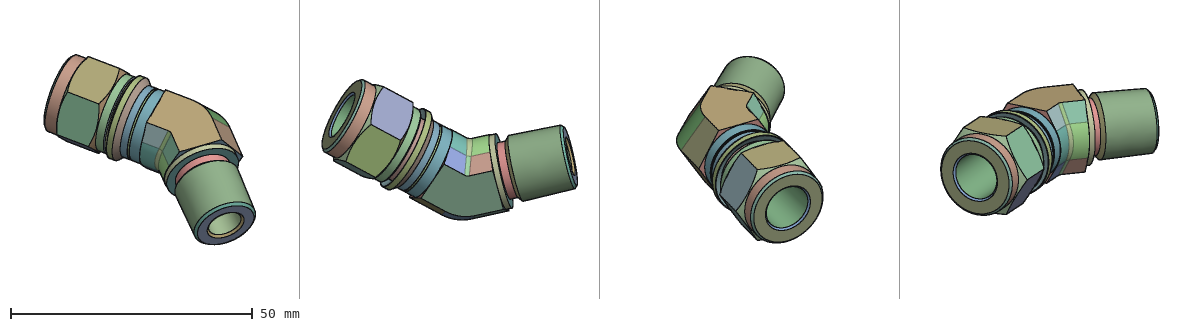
import cadquery as cq
import math

BEND_ANGLE = 45.0
BEND_X = 29.3
BODY_LEG = 7.4
BODY_FLATS = 16.05
OUTER_BEND_RADIUS = 9.45
INNER_BEND_RADIUS = 1.5

NUT_FLATS = 17.45
NUT_START = 3.1
NUT_END = 12.05
NUT_BEVEL_ANGLE = 30.0
NOSE_DIAMETER = 17.0
NOSE_CHAMFER = 0.5
REAR_DIAMETER = NOSE_DIAMETER
REAR_END = 14.1
REAR_CHAMFER = 0.25
NECK_DIAMETER = 14.3
FLANGE_START = 14.8
FLANGE_DIAMETER = 18.25
DISH_DIAMETER = 17.95
DISH_DEPTH = 1.15
FLANGE_RIM_END = 16.15
SHANK_START = 17.4
SHANK_DIAMETER = 15.8
GROOVE_START = 18.95
GROOVE_END = 19.4
GROOVE_DEPTH = 0.15

COLLAR_DIAMETER = 15.8
COLLAR_END = 8.65
RELIEF_DIAMETER = 12.0
RELIEF_END = 10.35
THREAD_START = 11.2
THREAD_DIAMETER = 14.0
THREAD_TAPER = 0.042
THREAD_END = 22.8
THREAD_CHAMFER = 0.55
TIP_DIAMETER = 12.4

TUBE_DIAMETER = 9.7
TUBE_DEPTH = 14.95
BORE_DIAMETER = 7.1
TUBE_CHAMFER = 0.4
BORE_CHAMFER = 0.5


def revolve_x(stations):
    """Solid turned about X from (position, diameter) stations."""
    outline = [(x, diameter / 2) for x, diameter in stations]
    points = [(outline[0][0], 0)] + outline + [(outline[-1][0], 0)]
    return cq.Workplane("XY").polyline(points).close().revolve(360, (0, 0, 0), (1, 0, 0))


def turn_outlet(solid):
    """Carry a solid built along X from the origin onto the outlet axis."""
    return solid.rotate((0, 0, 0), (0, 0, 1), -BEND_ANGLE).translate((BEND_X, 0, 0))


def make_nut():
    corner_diameter = NUT_FLATS / math.cos(math.pi / 6)
    bevel_height = (corner_diameter - NOSE_DIAMETER) / 2
    bevel_length = bevel_height * math.tan(math.radians(NUT_BEVEL_ANGLE))
    hexagon = (
        cq.Workplane("YZ", origin=(NUT_START, 0, 0))
        .polygon(6, corner_diameter)
        .extrude(NUT_END - NUT_START)
    )
    bevel = revolve_x([
        (NUT_START, NOSE_DIAMETER),
        (NUT_START + bevel_length, corner_diameter),
        (NUT_END - bevel_length, corner_diameter),
        (NUT_END, NOSE_DIAMETER),
    ])
    nose = revolve_x([
        (0, NOSE_DIAMETER - 2 * NOSE_CHAMFER),
        (NOSE_CHAMFER, NOSE_DIAMETER),
        (NUT_END, NOSE_DIAMETER),
    ])
    return hexagon.intersect(bevel).union(nose)


def make_inlet():
    groove_diameter = SHANK_DIAMETER - 2 * GROOVE_DEPTH
    return revolve_x([
        (NUT_START, REAR_DIAMETER),
        (REAR_END - REAR_CHAMFER, REAR_DIAMETER),
        (REAR_END, REAR_DIAMETER - 2 * REAR_CHAMFER),
        (REAR_END, NECK_DIAMETER),
        (FLANGE_START + DISH_DEPTH, NECK_DIAMETER),
        (FLANGE_START, DISH_DIAMETER),
        (FLANGE_START, FLANGE_DIAMETER),
        (FLANGE_RIM_END, FLANGE_DIAMETER),
        (SHANK_START, SHANK_DIAMETER),
        (GROOVE_START, SHANK_DIAMETER),
        (GROOVE_START, groove_diameter),
        (GROOVE_END, groove_diameter),
        (GROOVE_END, SHANK_DIAMETER),
        (BEND_X - BODY_LEG, SHANK_DIAMETER),
    ])


def body_section(plane):
    """Hexagon whose corner on the inside of the bend is rounded to the inscribed circle."""
    radius = BODY_FLATS / 2
    corner = radius / math.cos(math.pi / 6)
    tangent_y = -radius * math.cos(math.pi / 6)
    return (
        plane.moveTo(tangent_y, radius / 2)
        .lineTo(-corner / 2, radius)
        .lineTo(corner / 2, radius)
        .lineTo(corner, 0)
        .lineTo(corner / 2, -radius)
        .lineTo(-corner / 2, -radius)
        .lineTo(tangent_y, -radius / 2)
        .threePointArc((-radius, 0), (tangent_y, radius / 2))
        .close()
    )


def make_body():
    """Two straight legs mitred at the bend, with the mitre edges rounded."""
    half_angle = math.radians(BEND_ANGLE / 2)
    path = (
        cq.Workplane("XY")
        .moveTo(BEND_X - BODY_LEG, 0)
        .lineTo(BEND_X, 0)
        .lineTo(
            BEND_X + BODY_LEG * math.cos(2 * half_angle),
            -BODY_LEG * math.sin(2 * half_angle),
        )
    )
    plane = cq.Workplane("YZ", origin=(BEND_X - BODY_LEG, 0, 0))
    body = body_section(plane).sweep(path, transition="right")

    def mitre_edges(side):
        found = []
        for edge in body.edges().vals():
            center = edge.Center()
            off_mitre = center.x - BEND_X - center.y * math.tan(half_angle)
            if abs(off_mitre) < 0.005 and side * center.y > BODY_FLATS / 4:
                found.append(edge)
        return found

    body = body.newObject(mitre_edges(1)).fillet(OUTER_BEND_RADIUS)
    return body.newObject(mitre_edges(-1)).fillet(INNER_BEND_RADIUS)


def make_outlet():
    chamfer_start = THREAD_END - THREAD_CHAMFER
    taper_drop = THREAD_TAPER * (chamfer_start - THREAD_START)
    return turn_outlet(revolve_x([
        (BODY_LEG / 2, RELIEF_DIAMETER),
        (BODY_LEG, RELIEF_DIAMETER),
        (BODY_LEG, COLLAR_DIAMETER),
        (COLLAR_END, COLLAR_DIAMETER),
        (COLLAR_END, RELIEF_DIAMETER),
        (RELIEF_END, RELIEF_DIAMETER),
        (THREAD_START, THREAD_DIAMETER),
        (chamfer_start, THREAD_DIAMETER - taper_drop),
        (THREAD_END, TIP_DIAMETER),
    ]))


def make_bores():
    """Stepped blind tube socket, and a blind outlet bore that reaches the bend."""
    inlet = revolve_x([
        (0, TUBE_DIAMETER + 2 * TUBE_CHAMFER),
        (TUBE_CHAMFER, TUBE_DIAMETER),
        (TUBE_DEPTH, TUBE_DIAMETER),
        (TUBE_DEPTH, BORE_DIAMETER),
        (BEND_X - BODY_LEG, BORE_DIAMETER),
    ])
    outlet = revolve_x([
        (0, BORE_DIAMETER),
        (THREAD_END - BORE_CHAMFER, BORE_DIAMETER),
        (THREAD_END, BORE_DIAMETER + 2 * BORE_CHAMFER),
    ])
    return inlet.union(turn_outlet(outlet))


result = make_body().union(make_inlet()).union(make_nut()).union(make_outlet()).cut(make_bores())